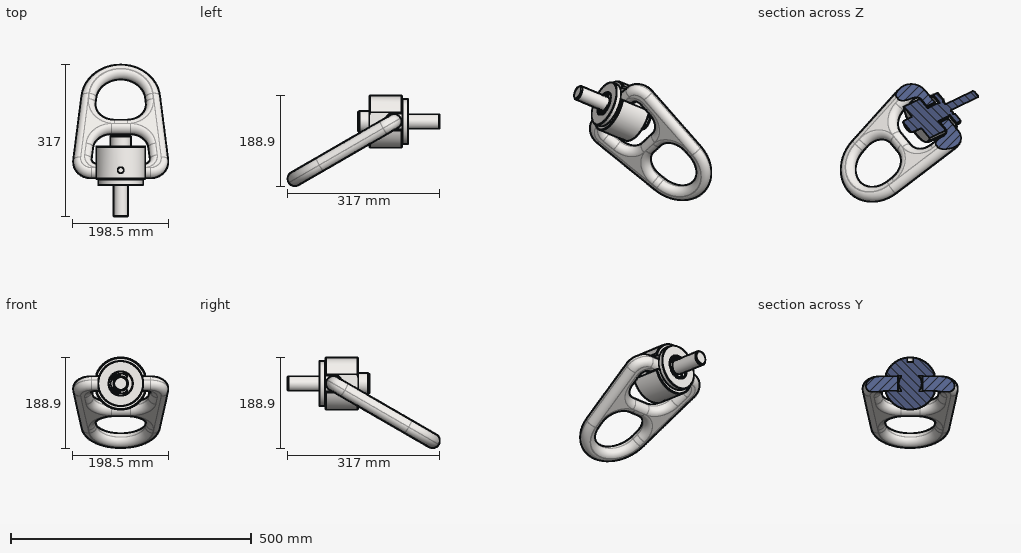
import cadquery as cq
import math


OVERALL_LENGTH = 317.0

RING_THICKNESS = 30.7
RING_WIDTH = 198.5
BAR_RADIUS = RING_THICKNESS / 2
ROUND_GAP = 0.003
RING_TILT = 30.0
RING_TAPER = 6.35
RING_LENGTH = 238.0
PIVOT_BAR_HALF = 61.0
OUTER_CORNER_RADIUS = RING_WIDTH / 2 - BAR_RADIUS - PIVOT_BAR_HALF
CROSSBAR_HEIGHT = 105.8
UPPER_WEB = 1.0
UPPER_STRAIGHT_HALF = 13.5
LOWER_WEB = 7.5
LOWER_STRAIGHT_HALF = 19.5
LOWER_CORNER_RADIUS = 27.5
BAR_END_HALF_GAP = 25.5

HOUSING_RADIUS = 54.5
HOUSING_FRONT = -16.8
HOUSING_BACK = 51.5
HOUSING_BACK_CHAMFER = 2.2
HOUSING_FRONT_CHAMFER = 1.5
FLAT_HALF_WIDTH = 51.0
SLOT_HALF_HEIGHT = 16.0
SLOT_CHAMFER = 3.0
CORE_RADIUS = 24.0
CORE_CHAMFER = 1.3
FLANGE_RADIUS = 47.2
FLANGE_BACK = -17.5
FLANGE_FRONT = -29.0
FLANGE_CHAMFER = 1.0
RECESS_RADIUS = 24.5
RECESS_DEPTH = 3.2
RECESS_CHAMFER = 1.3
STUD_DIAMETER = 30.7
STUD_RADIUS = STUD_DIAMETER / 2
STUD_CHAMFER_LENGTH = 2.5
STUD_CHAMFER_DEPTH = 2.2
HEAD_RADIUS = 22.0
HEAD_BACK = 75.0
HEAD_CHAMFER_LENGTH = 3.8
HEAD_CHAMFER_DEPTH = 2.5
PIN_HOLE_RADIUS = 6.3
PIN_HOLE_Y = 2.0
PIN_HOLE_DEPTH = 9.5
CLIP_RADIUS = 20.5
CLIP_THICKNESS = 1.5
CLIP_MOUTH_HALF = 13.3
CLIP_CORNER_RADIUS = 1.5
CLIP_RELIEF_RADIUS = 17.5
CLIP_RELIEF_FROM = 95.0
CLIP_RELIEF_TO = 155.0

SIN_TAPER = math.sin(math.radians(RING_TAPER))
COS_TAPER = math.cos(math.radians(RING_TAPER))
SIDE_DISTANCE = PIVOT_BAR_HALF * COS_TAPER + OUTER_CORNER_RADIUS * (1 + SIN_TAPER)
RING_BACK = RING_LENGTH * math.cos(math.radians(RING_TILT)) + BAR_RADIUS
STUD_TIP = RING_BACK - OVERALL_LENGTH


def arc_point(center_x, center_y, radius, degrees):
    angle = math.radians(degrees)
    return (center_x + radius * math.cos(angle), center_y + radius * math.sin(angle))


def ring_loop(low_half, low_y, low_radius, high_half, high_y, high_radius):
    """Symmetric loop with leaning sides: two straight ends joined to the sides by tangent arcs."""
    low_center = (low_half, low_y + low_radius)
    high_center = (high_half, high_y - high_radius)
    low_middle = (RING_TAPER - 90) / 2
    high_middle = (RING_TAPER + 90) / 2
    right = [
        (low_half, low_y),
        arc_point(*low_center, low_radius, low_middle),
        arc_point(*low_center, low_radius, RING_TAPER),
        arc_point(*high_center, high_radius, RING_TAPER),
        arc_point(*high_center, high_radius, high_middle),
        (high_half, high_y),
    ]
    left = [(-x, y) for x, y in right]
    loop = cq.Workplane("XY").moveTo(*left[0]).lineTo(*right[0])
    loop = loop.threePointArc(right[1], right[2]).lineTo(*right[3])
    loop = loop.threePointArc(right[4], right[5])
    if high_half > 0:
        loop = loop.lineTo(*left[5])
    loop = loop.threePointArc(left[4], left[3]).lineTo(*left[2])
    return loop.threePointArc(left[1], left[0]).close()


def top_radius(side_distance, top_y):
    """Radius of a top arc centred on X = 0 that meets both sides tangentially."""
    return (side_distance - top_y * SIN_TAPER) / (1 - SIN_TAPER)


def plate(loop):
    return loop.extrude(BAR_RADIUS, both=True)


def build_ring():
    outer = plate(ring_loop(
        PIVOT_BAR_HALF, -BAR_RADIUS, OUTER_CORNER_RADIUS + BAR_RADIUS,
        0, RING_LENGTH + BAR_RADIUS, top_radius(SIDE_DISTANCE, RING_LENGTH) + BAR_RADIUS,
    ))

    upper_side = SIDE_DISTANCE - UPPER_WEB
    upper_top = RING_LENGTH - UPPER_WEB
    upper_corner = (
        upper_side - UPPER_STRAIGHT_HALF * COS_TAPER - CROSSBAR_HEIGHT * SIN_TAPER
    ) / (1 + SIN_TAPER)
    upper_window = plate(ring_loop(
        UPPER_STRAIGHT_HALF, CROSSBAR_HEIGHT + BAR_RADIUS, upper_corner - BAR_RADIUS,
        0, upper_top - BAR_RADIUS, top_radius(upper_side, upper_top) - BAR_RADIUS,
    ))

    lower_side = SIDE_DISTANCE - LOWER_WEB
    lower_top_corner = (
        lower_side - LOWER_STRAIGHT_HALF * COS_TAPER - CROSSBAR_HEIGHT * SIN_TAPER
    ) / (1 - SIN_TAPER)
    lower_half = (lower_side - LOWER_CORNER_RADIUS * (1 + SIN_TAPER)) / COS_TAPER
    lower_window = plate(ring_loop(
        lower_half, BAR_RADIUS, LOWER_CORNER_RADIUS - BAR_RADIUS,
        LOWER_STRAIGHT_HALF, CROSSBAR_HEIGHT - BAR_RADIUS, lower_top_corner - BAR_RADIUS,
    ))

    ring = outer.cut(upper_window).cut(lower_window)
    ring = ring.faces("|Z").edges().fillet(BAR_RADIUS - ROUND_GAP)
    bar_gap = cq.Workplane("XY").box(2 * BAR_END_HALF_GAP, 3 * BAR_RADIUS, 3 * BAR_RADIUS)
    ring = ring.cut(bar_gap)
    return ring.rotate((0, 0, 0), (1, 0, 0), -RING_TILT)


def cylinder_y(radius, y_from, y_to):
    """Cylinder about the Y axis."""
    return cq.Workplane("XZ", origin=(0, y_from, 0)).circle(radius).extrude(y_from - y_to)


def build_housing():
    housing = cylinder_y(HOUSING_RADIUS, HOUSING_FRONT, HOUSING_BACK)
    housing = housing.faces(">Y").chamfer(HOUSING_BACK_CHAMFER)
    housing = housing.faces("<Y").chamfer(HOUSING_FRONT_CHAMFER)
    length = 2 * (HOUSING_BACK - HOUSING_FRONT)
    flats = cq.Workplane("XY").box(2 * FLAT_HALF_WIDTH, 2 * length, 3 * HOUSING_RADIUS)
    return housing.intersect(flats)


def slot_profile(x, half_height):
    """U-shaped slot outline on the plane at the given X, open at the housing front."""
    front = 2 * HOUSING_FRONT
    return (
        cq.Workplane("YZ", origin=(x, 0, 0))
        .moveTo(front, -half_height)
        .lineTo(0, -half_height)
        .threePointArc((half_height, 0), (0, half_height))
        .lineTo(front, half_height)
        .close()
    )


def build_slot():
    """Pivot slot across the housing with a chamfered mouth at each side flat, around the core."""
    slot = slot_profile(-FLAT_HALF_WIDTH, SLOT_HALF_HEIGHT).extrude(2 * FLAT_HALF_WIDTH)
    mouth = slot_profile(FLAT_HALF_WIDTH, SLOT_HALF_HEIGHT + SLOT_CHAMFER)
    mouth = mouth.extrude(-SLOT_CHAMFER, taper=45)
    slot = slot.union(mouth).union(mouth.mirror("YZ"))
    return slot.cut(cylinder_y(CORE_RADIUS, 3 * HOUSING_FRONT, HOUSING_BACK))


def build_core():
    """Core through the slot, stepped down to a short neck that carries the flange."""
    core = cylinder_y(CORE_RADIUS, HOUSING_FRONT, HOUSING_BACK).faces("<Y").chamfer(CORE_CHAMFER)
    return core.union(cylinder_y(CORE_RADIUS - CORE_CHAMFER, FLANGE_BACK, HOUSING_BACK))


def build_flange():
    flange = cylinder_y(FLANGE_RADIUS, FLANGE_FRONT, FLANGE_BACK).edges().chamfer(FLANGE_CHAMFER)
    recess = cylinder_y(RECESS_RADIUS, FLANGE_FRONT, FLANGE_FRONT + RECESS_DEPTH)
    return flange.cut(recess).edges(cq.selectors.RadiusNthSelector(0)).edges("<Y").chamfer(RECESS_CHAMFER)


def build_stud():
    stud = cylinder_y(STUD_RADIUS, STUD_TIP, FLANGE_BACK)
    return stud.faces("<Y").chamfer(STUD_CHAMFER_LENGTH, STUD_CHAMFER_DEPTH)


def build_head():
    head = cylinder_y(HEAD_RADIUS, HOUSING_BACK, HEAD_BACK)
    return head.faces(">Y").chamfer(HEAD_CHAMFER_LENGTH, HEAD_CHAMFER_DEPTH)


def build_clip():
    """Open retaining clip lying on the recess floor, with its mouth towards +X."""
    floor = FLANGE_FRONT + RECESS_DEPTH
    clip = cylinder_y(CLIP_RADIUS, floor - CLIP_THICKNESS, floor)
    mouth = cq.Workplane("XY").box(CLIP_RADIUS, 4 * CLIP_RADIUS, 2 * CLIP_MOUTH_HALF)
    clip = clip.cut(mouth.translate((CLIP_RADIUS, 0, 0)))
    clip = clip.edges("|Y").edges(">X").fillet(CLIP_CORNER_RADIUS)
    clip = clip.cut(cylinder_y(STUD_RADIUS, STUD_TIP, FLANGE_BACK))
    for side in (1, -1):
        start = arc_point(0, 0, CLIP_RELIEF_RADIUS, side * CLIP_RELIEF_FROM)
        middle = arc_point(0, 0, CLIP_RELIEF_RADIUS, side * (CLIP_RELIEF_FROM + CLIP_RELIEF_TO) / 2)
        end = arc_point(0, 0, CLIP_RELIEF_RADIUS, side * CLIP_RELIEF_TO)
        relief = cq.Workplane("XZ", origin=(0, floor, 0)).lineTo(*start).threePointArc(middle, end).close()
        clip = clip.cut(relief.extrude(CLIP_THICKNESS))
    return clip


def build_hoist_body():
    body = build_housing().cut(build_slot())
    body = body.union(build_core())
    body = body.union(build_flange())
    body = body.union(build_head())
    pin_hole = cq.Workplane("XY", origin=(0, PIN_HOLE_Y, HOUSING_RADIUS - PIN_HOLE_DEPTH))
    body = body.cut(pin_hole.circle(PIN_HOLE_RADIUS).extrude(2 * PIN_HOLE_DEPTH))
    return body.union(build_stud()).union(build_clip())


ring = build_ring()
hoist_body = build_hoist_body()
result = cq.Compound.makeCompound([ring.val(), hoist_body.val()])